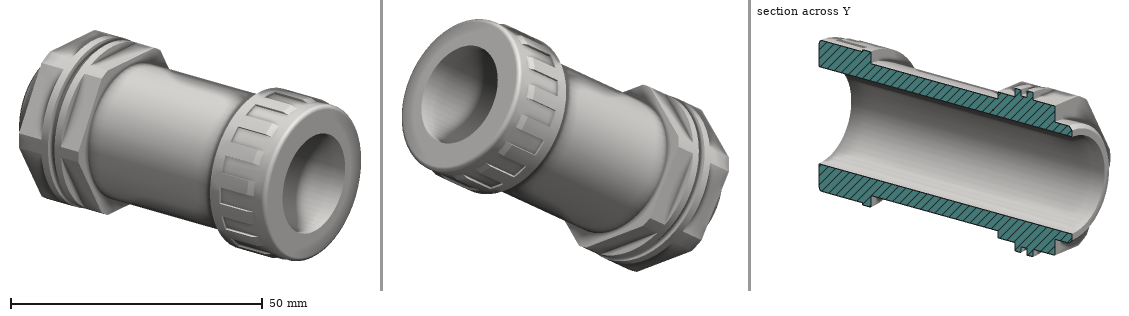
import cadquery as cq
import math

total_length = 65.0
front_hex_start = 4.4
front_flange_start = 10.0
neck_start = 11.7
rear_flange_start = 13.2
rear_hex_start = 14.8
tube_start = 19.2
cap_start = 51.6
rib_start = 53.95
rib_slope_start = 60.8
rib_end = 62.15

bore_radius = 10.3
spigot_radius = 12.5
front_flange_radius = 17.5
neck_radius = 16.05
rear_flange_radius = 17.3
tube_radius = 14.05
cap_radius = 16.05
rib_radius = 16.5

front_hex_flats = 31.7
rear_hex_flats = 31.0

hex_sides = 6

spigot_chamfer = 0.85
cap_fillet = 0.85

rib_count = 16
gap_angle = 12.3
rib_pitch = 360.0 / rib_count
rib_angle = rib_pitch - gap_angle

rib_root_radius = cap_radius - 0.65
cutter_radius = front_flange_radius + 3.25


def turned_body():
    """Whole body as one turning: spigot, flanges, neck, tube, collar and plain cap, with the bore."""
    profile = [
        (0, bore_radius),
        (0, spigot_radius - spigot_chamfer),
        (spigot_chamfer, spigot_radius),
        (front_hex_start, spigot_radius),
        (front_hex_start, front_flange_radius),
        (neck_start, front_flange_radius),
        (neck_start, neck_radius),
        (rear_flange_start, neck_radius),
        (rear_flange_start, rear_flange_radius),
        (tube_start, rear_flange_radius),
        (tube_start, tube_radius),
        (cap_start, tube_radius),
        (cap_start, rib_radius),
        (rib_start, rib_radius),
        (rib_start, cap_radius),
        (total_length, cap_radius),
        (total_length, bore_radius),
    ]
    body = cq.Workplane("XY").polyline(profile).close().revolve(360, (0, 0, 0), (1, 0, 0))
    return body.faces(">X").edges(cq.selectors.RadiusNthSelector(-1)).fillet(cap_fillet)


def hex_flats_cutter(start, end, flats):
    """Ring of material outside a hexagon that has flats facing +Z and -Z."""
    plane = cq.Workplane("YZ").workplane(offset=start)
    corner_diameter = flats / math.cos(math.pi / hex_sides)
    outside = plane.circle(cutter_radius).extrude(end - start)
    hexagon = plane.polygon(hex_sides, corner_diameter).extrude(end - start)
    return outside.cut(hexagon)


def grip_rib(center_angle):
    """One rib: a ring sector rooted in the cap, its outer face sloping down to the cap at the end."""
    profile = [
        (rib_start, rib_root_radius),
        (rib_start, rib_radius),
        (rib_slope_start, rib_radius),
        (rib_end, cap_radius),
        (rib_end, rib_root_radius),
    ]
    rib = cq.Workplane("XY").polyline(profile).close().revolve(rib_angle, (0, 0, 0), (1, 0, 0))
    return rib.rotate((0, 0, 0), (1, 0, 0), center_angle - rib_angle / 2)


result = turned_body()

result = result.cut(hex_flats_cutter(front_hex_start, front_flange_start, front_hex_flats))
result = result.cut(hex_flats_cutter(rear_hex_start, tube_start, rear_hex_flats))

for index in range(rib_count):
    result = result.union(grip_rib((index + 0.5) * rib_pitch))